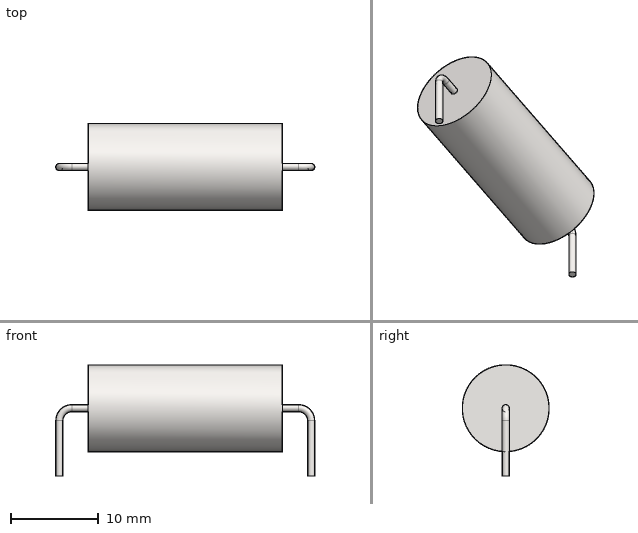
import cadquery as cq

overall_length = 29.5
overall_height = 12.7

housing_diameter = 9.92
housing_length = 22.13

lead_diameter = 0.83
bend_radius = 1.42

axis_height = overall_height - housing_diameter / 2
housing_end = housing_length / 2
lead_leg_x = (overall_length - lead_diameter) / 2


def make_housing():
    """Plain cylinder centred over the origin."""
    return (
        cq.Workplane("YZ", origin=(-housing_end, 0, axis_height))
        .circle(housing_diameter / 2)
        .extrude(housing_length)
    )


def make_lead(side):
    """Round wire from a housing end face, bent down; side is -1 or +1 along X."""
    bend_start_x = side * (lead_leg_x - bend_radius)
    path = (
        cq.Workplane("XZ")
        .moveTo(side * housing_end, axis_height)
        .lineTo(bend_start_x, axis_height)
        .tangentArcPoint((side * lead_leg_x, axis_height - bend_radius), relative=False)
        .lineTo(side * lead_leg_x, 0)
    )
    return (
        cq.Workplane("YZ", origin=(side * housing_end, 0, axis_height))
        .circle(lead_diameter / 2)
        .sweep(path)
    )


housing = make_housing()
leads = [make_lead(side) for side in (-1, 1)]

result = cq.Compound.makeCompound([housing.val(), *[lead.val() for lead in leads]])